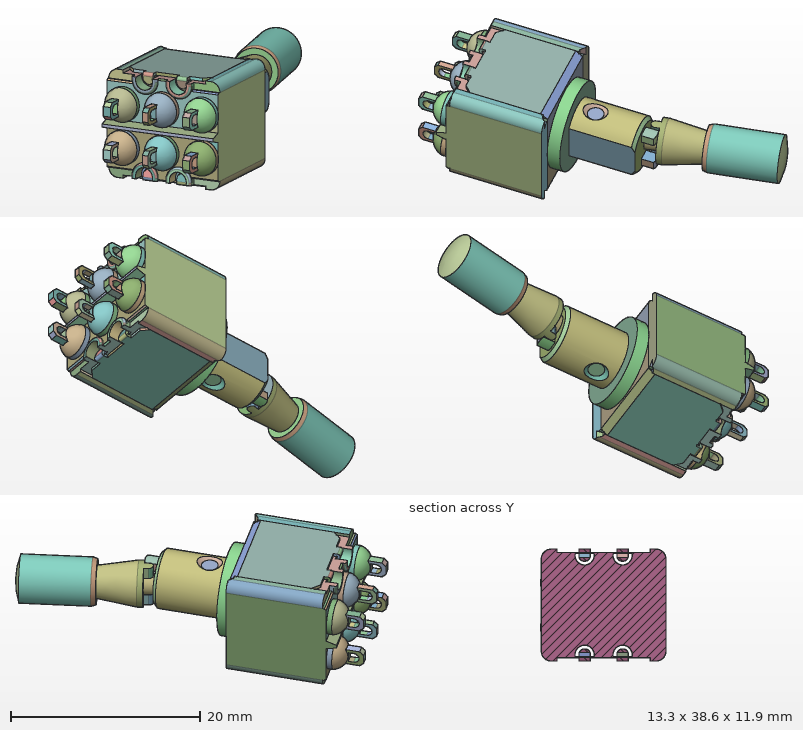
import cadquery as cq
import math


case_width = 13.2
case_height = 11.85
case_corner_radius = 1.1
rail_length = 10.5
body_length = 10.95
ledge_height = case_height - 2 * case_corner_radius
ledge_chamfer_length = 0.2
ledge_chamfer_drop = 0.15
rail_nick_outer = 5.75
rail_nick_inner = 5.2
rail_nick_length = 0.45
rail_nick_depth = 0.55

barrier_height = 1.12
barrier_base = 1.05
barrier_tip = 0.35

latch_x = 2.0
latch_z = 5.25
socket_radius = 1.0
socket_depth = 9.95
collar_radius = 1.5
collar_fillet = 0.2
collar_height = 0.35

row_z = 2.35
terminal_pitch = 4.7
middle_terminal_shift = -0.058
outer_terminal_thickness = 0.85
middle_terminal_thickness = 0.65
terminal_width = 1.9
outer_terminal_end = 14.65
middle_terminal_extra = 0.2
terminal_chamfer = 0.42
eyelet_width = 1.15
eyelet_wall = 0.5
dome_pitch = 4.7
dome_shift = 0.08
dome_radius = 1.9
dome_rim_height = 0.58
dome_cap_height = 1.45

sheet = 0.35
frame_width = 9.8
bend_length = 0.8
bend_drop = 0.55
side_plate_length = 9.65
side_plate_chamfer = 0.8
tab_width = 1.25
tab_reach = 10.5
tab_bend_radius = 0.3
tab_depth = 1.3
tab_lean = 15.0
flange_radius = 5.02
flange_thickness = 1.43
bushing_radius = 3.25
bushing_top = 8.95
bushing_chamfer = 0.4
bushing_flat_x = 2.47
dimple_y = 3.48
dimple_rim_radius = 1.35
dimple_floor_radius = 0.9
dimple_depth = 0.45
stop_half_width = 0.675
stop_inner_z = 1.3
stop_outer_radius = 2.4
stop_side_height = 1.4
stop_height = 1.55

pivot_y = 2.82
lever_tilt = 10.6
stem_radius = 1.12
skirt_start = 7.6
skirt_end = 8.23
skirt_radius = 2.5
neck_radius = 1.78
knob_start = 12.6
knob_shoulder = 13.1
knob_end = 20.75
knob_radius = 2.63
knob_foot_radius = 2.47
knob_crown = 0.45
key_half_width = 0.483
key_tip = 6.6
key_inner_z = 1.12

core_top = case_height / 2 - sheet


def block(x_range, y_range, z_range):
    """Box between the given limits."""
    sizes = [high - low for low, high in (x_range, y_range, z_range)]
    corner = (x_range[0], y_range[0], z_range[0])
    return cq.Workplane("XY").box(*sizes, centered=False).translate(corner)


def across_x(points, width):
    """Prism of a (y, z) outline, centred on X = 0."""
    return cq.Workplane("YZ").polyline(points).close().extrude(width / 2, both=True)


def with_mirror(solid):
    """The shape together with its mirror image below Z = 0."""
    return solid.union(solid.mirror("XY"))


def beveled_outline(front, back, half_height, bevel_length, bevel_drop):
    """(y, z) points of a rectangle with bevelled corners at its front end."""
    upper = [
        (back, half_height),
        (front - bevel_length, half_height),
        (front, half_height - bevel_drop),
    ]
    return upper + [(y, -z) for y, z in reversed(upper)]



def frame_core():
    """Part of the case inside the frame clip."""
    return across_x(beveled_outline(-sheet, -rail_length, core_top, bend_length, bend_drop), frame_width)


def terminal_end(width, height):
    """Slab at the terminal end with bevelled long edges."""
    slab = beveled_outline(body_length, rail_length, height / 2, ledge_chamfer_length, ledge_chamfer_drop)
    return across_x([(-y, z) for y, z in slab], width)


def rail_nick():
    """Nick in the inner end corner of the rail at +X, its floor falling away outwards at 45 degrees."""
    top = case_height / 2
    inner_edge = frame_width / 2
    floor = top - rail_nick_depth
    plan = (
        cq.Workplane("XY")
        .polyline(
            [
                (rail_nick_outer, 0),
                (rail_nick_inner, -rail_nick_length),
                (inner_edge, -rail_nick_length),
                (inner_edge, 0),
            ]
        )
        .close()
        .extrude(top)
    )
    profile = (
        cq.Workplane("XZ")
        .polyline(
            [
                (inner_edge, top),
                (rail_nick_outer, top),
                (rail_nick_outer, floor - (rail_nick_outer - rail_nick_inner)),
                (rail_nick_inner, floor),
                (inner_edge, floor),
            ]
        )
        .close()
        .extrude(rail_length)
    )
    return plan.intersect(profile)


def rails():
    shell = (
        cq.Workplane("XY")
        .box(case_width, rail_length, case_height)
        .edges("|Y")
        .fillet(case_corner_radius)
        .translate((0, -rail_length / 2, 0))
    )
    channel = cq.Workplane("XY").box(frame_width, 3 * rail_length, case_height)
    nicks = with_mirror(rail_nick())
    return shell.cut(channel).cut(nicks).cut(nicks.mirror("YZ"))


def barrier():
    tip = -body_length - barrier_height
    base, top = barrier_base / 2, barrier_tip / 2
    points = [(-rail_length, base), (-body_length, base), (tip, top)]
    points += [(y, -z) for y, z in reversed(points)]
    return across_x(points, case_width)


def collar(x):
    """Rounded collar around a tab socket, U-shaped and cut off level with the core surface."""
    bevel_start = ledge_chamfer_length - body_length
    tall = case_height
    u_shape = (
        cq.Workplane("XZ", origin=(x, bevel_start, latch_z))
        .moveTo(-collar_radius, tall)
        .lineTo(-collar_radius, 0)
        .threePointArc((0, -collar_radius), (collar_radius, 0))
        .lineTo(collar_radius, tall)
        .close()
        .extrude(ledge_chamfer_length + collar_height)
        .faces("<Y")
        .edges()
        .fillet(collar_fillet)
    )
    return u_shape.intersect(block((-case_width, case_width), (-2 * body_length, 0), (0, core_top)))


def socket(x):
    """Round pocket open at the terminal end, its back wall parallel to the leaning tab."""
    length = collar_height + body_length
    axis = cq.Vector(0, 1, 0)
    bore = cq.Solid.makeCylinder(socket_radius, length, cq.Vector(x, -length, latch_z), axis)
    wall_top = -socket_depth
    wall_bottom = wall_top + core_top * math.tan(math.radians(tab_lean))
    reach = across_x(
        [(wall_bottom, 0), (wall_top, core_top), (-length, core_top), (-length, 0)], case_width
    )
    return reach.intersect(cq.Workplane(bore))


def dome(x, z):
    rim = dome_rim_height
    apex = rim + dome_cap_height
    sphere_radius = (dome_radius**2 + dome_cap_height**2) / (2 * dome_cap_height)
    half_angle = math.asin(dome_radius / sphere_radius) / 2
    middle = (
        sphere_radius * math.sin(half_angle),
        apex - sphere_radius * (1 - math.cos(half_angle)),
    )
    profile = (
        cq.Workplane("XY")
        .lineTo(dome_radius, 0)
        .lineTo(dome_radius, rim)
        .threePointArc(middle, (0, apex))
        .close()
    )
    cap = profile.revolve(360, (0, 0, 0), (0, 1, 0))
    return cap.mirror("XZ").translate((x, -body_length, z))


def terminal(x, z, thickness, end):
    """Flat solder lug with a round-ended eyelet that starts at the top of the dome."""
    root = -body_length
    half = thickness / 2
    lug = (
        block((x - half, x + half), (-end, root), (z - terminal_width / 2, z + terminal_width / 2))
        .faces("<Y")
        .edges("|X")
        .chamfer(terminal_chamfer)
    )
    eyelet_end = eyelet_wall - end
    eyelet_start = root - dome_rim_height - dome_cap_height
    radius = eyelet_width / 2
    eyelet = (
        cq.Workplane("YZ", origin=(x, 0, z))
        .moveTo(eyelet_start, radius)
        .lineTo(eyelet_end + radius, radius)
        .threePointArc((eyelet_end, 0), (eyelet_end + radius, -radius))
        .lineTo(eyelet_start, -radius)
        .close()
        .extrude(thickness, both=True)
    )
    return lug.cut(eyelet)


def make_case():
    case = rails().union(frame_core())
    case = case.union(terminal_end(case_width, ledge_height))
    case = case.union(terminal_end(2 * (latch_x + collar_radius), 2 * core_top))
    case = case.union(barrier())
    for x in (-latch_x, latch_x):
        case = case.union(with_mirror(collar(x)))
    for x in (-latch_x, latch_x):
        case = case.cut(socket(x)).cut(socket(x).mirror("XY"))
    for column in (-1, 0, 1):
        if column == 0:
            lug_x = middle_terminal_shift
            thickness = middle_terminal_thickness
            end = outer_terminal_end + middle_terminal_extra
        else:
            lug_x = column * terminal_pitch
            thickness = outer_terminal_thickness
            end = outer_terminal_end
        for z in (-row_z, row_z):
            case = case.union(dome(column * dome_pitch + dome_shift, z))
            case = case.union(terminal(lug_x, z, thickness, end))
    return case



def clip():
    """U-shaped sheet with an end plate and two side plates."""
    outer = across_x(
        beveled_outline(0, -side_plate_length, case_height / 2, bend_length, bend_drop), frame_width
    )
    return (
        outer.edges("|Z and <Y")
        .chamfer(side_plate_chamfer)
        .cut(frame_core())
    )


def tab(x):
    """Tab bent down from the upper side plate, with a round end."""
    slope = math.tan(math.radians(tab_lean))
    top = case_height / 2
    tip = top - tab_depth
    outer_tip = -tab_reach + slope * tab_depth
    hook = across_x(
        [
            (-side_plate_length, top),
            (-tab_reach, top),
            (outer_tip, tip),
            (outer_tip + sheet, tip),
            (sheet - tab_reach + slope * sheet, core_top),
            (-side_plate_length, core_top),
        ],
        tab_width,
    )
    hook = hook.edges("|X and >Z and <Y").fillet(tab_bend_radius)
    radius = tab_width / 2
    outline = (
        cq.Workplane("XZ")
        .moveTo(-radius, top)
        .lineTo(-radius, tip + radius)
        .threePointArc((0, tip), (radius, tip + radius))
        .lineTo(radius, top)
        .close()
        .extrude(2 * tab_reach)
    )
    return hook.intersect(outline).translate((x, 0, 0))


def bushing():
    flange = cq.Workplane("XZ").circle(flange_radius).extrude(-flange_thickness)
    barrel = (
        cq.Workplane("XZ")
        .circle(bushing_radius)
        .extrude(-bushing_top)
        .faces(">Y")
        .chamfer(bushing_chamfer)
    )
    size = 2 * bushing_radius
    flat = block((bushing_flat_x, size), (flange_thickness, 2 * bushing_top), (-size, size))
    return flange.union(barrel.cut(flat))


def dimple():
    return cq.Workplane(
        cq.Solid.makeCone(
            dimple_floor_radius,
            dimple_rim_radius,
            dimple_depth,
            cq.Vector(0, dimple_y, bushing_radius - dimple_depth),
            cq.Vector(0, 0, 1),
        )
    )


def stop():
    """Crowned stop on the bushing face, rounded to the bushing axis."""
    side = bushing_top + stop_side_height
    column = (
        cq.Workplane("XY", origin=(0, 0, stop_inner_z))
        .moveTo(-stop_half_width, bushing_top)
        .lineTo(-stop_half_width, side)
        .threePointArc((0, bushing_top + stop_height), (stop_half_width, side))
        .lineTo(stop_half_width, bushing_top)
        .close()
        .extrude(stop_outer_radius)
    )
    envelope = cq.Workplane("XZ").circle(stop_outer_radius).extrude(-2 * bushing_top)
    return column.intersect(envelope)


def make_frame(lever):
    frame = clip().union(bushing())
    for x in (-latch_x, latch_x):
        frame = frame.union(with_mirror(tab(x)))
    frame = frame.union(with_mirror(stop()))
    frame = frame.cut(dimple()).cut(dimple().mirror("XY"))
    return frame.cut(lever)



def upright_lever():
    """Lever standing along +Y with its pivot at the origin."""
    crown_sphere = (knob_radius**2 + knob_crown**2) / (2 * knob_crown)
    half_angle = math.asin(knob_radius / crown_sphere) / 2
    crown_middle = (
        crown_sphere * math.sin(half_angle),
        knob_end + knob_crown - crown_sphere * (1 - math.cos(half_angle)),
    )
    ball_middle = stem_radius * math.sqrt(0.5)
    return (
        cq.Workplane("XY")
        .moveTo(0, -stem_radius)
        .threePointArc((ball_middle, -ball_middle), (stem_radius, 0))
        .lineTo(stem_radius, skirt_start)
        .lineTo(skirt_radius, skirt_start)
        .lineTo(skirt_radius, skirt_end)
        .lineTo(neck_radius, knob_start)
        .lineTo(knob_foot_radius, knob_start)
        .lineTo(knob_radius, knob_shoulder)
        .lineTo(knob_radius, knob_end)
        .threePointArc(crown_middle, (0, knob_end + knob_crown))
        .close()
        .revolve(360, (0, 0, 0), (0, 1, 0))
    )


def key():
    """Round-ended key below the skirt, flush with the outside of the skirt."""
    centre = key_tip + key_half_width
    bar = (
        cq.Workplane("XY", origin=(0, 0, key_inner_z))
        .moveTo(-key_half_width, skirt_end)
        .lineTo(-key_half_width, centre)
        .threePointArc((0, key_tip), (key_half_width, centre))
        .lineTo(key_half_width, skirt_end)
        .close()
        .extrude(skirt_radius)
    )
    envelope = cq.Workplane("XZ").circle(skirt_radius).extrude(-knob_start)
    return bar.intersect(envelope)


def make_lever():
    lever = upright_lever().union(with_mirror(key()))
    return lever.rotate((0, 0, 0), (0, 0, 1), lever_tilt).translate((0, pivot_y, 0))


lever = make_lever()
frame = make_frame(lever)
case = make_case()
result = cq.Compound.makeCompound(
    [case.solids().val(), frame.solids().val(), lever.solids().val()]
)